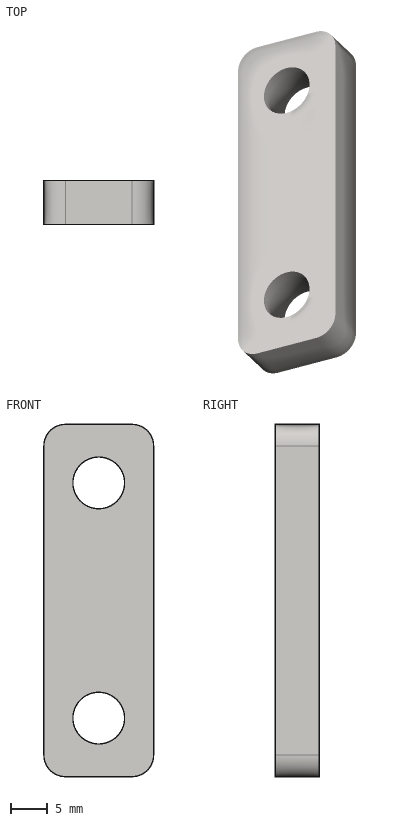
import cadquery as cq

width = 15.0
thickness = 6.0
height = 48.0
corner_radius = 3.0

hole_diameter = 7.0
hole_spacing = 32.0

plate = cq.Workplane("XY").box(width, thickness, height).edges("|Y").fillet(corner_radius)

result = (
    plate.faces("<Y")
    .workplane(centerOption="CenterOfBoundBox")
    .pushPoints([(0, -hole_spacing / 2), (0, hole_spacing / 2)])
    .hole(hole_diameter)
)